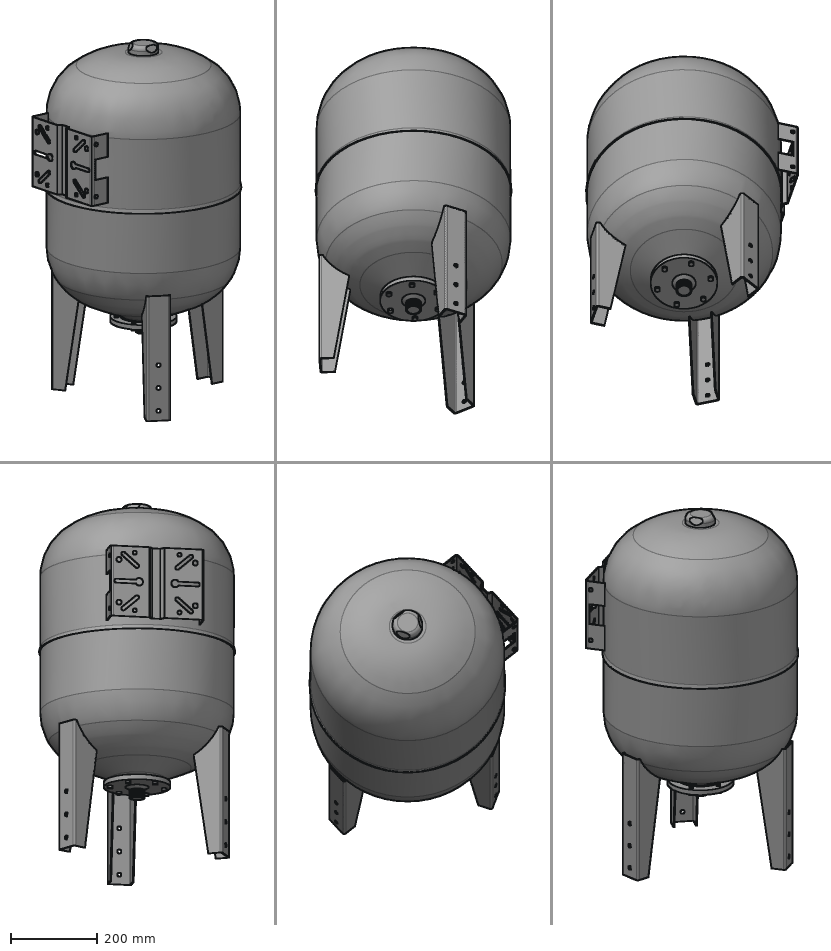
import cadquery as cq
import math

TANK_RADIUS = 450.0 / 2
LOWER_SEAM_Z = 359.0
UPPER_SEAM_Z = 682.0
KNUCKLE_RADIUS = 132.0
KNUCKLE_CENTER = TANK_RADIUS - KNUCKLE_RADIUS
CROWN_JOINT_RADIUS = 156.5
CROWN_MIDDLE = (111.0, 819.0)
LOWER_BELT_RADIUS = 205.0
LOWER_SHOULDER = (170.0, 251.0)
LOWER_CONE_EDGE = (125.0, 226.0)
RIM_RADIUS = 455.0 / 2
RIM_BOTTOM_Z = 503.0
RIM_MIDDLE = (226.0, 508.5)
RIM_TOP_Z = 513.0

TOTAL_HEIGHT = 850.5
LAND_RADIUS = 42.5
LAND_Z = 828.0
CAP_RADIUS = 35.0
CAP_ROUND = 11.0
GRIP_COUNT = 3
GRIP_TOP_RADIUS = 26.0
GRIP_FOOT_Z = 834.0

NECK_RADIUS = 108.0 / 2
NECK_FLARE_EDGE = (64.0, 201.0)
NECK_FLARE_BOTTOM_Z = 194.0
FLANGE_RADIUS = 77.0
FLANGE_TOP_Z = 191.0
FLANGE_BOTTOM_Z = 179.5
BOLT_COUNT = 6
BOLT_CIRCLE_RADIUS = 64.0
BOLT_HEAD_DIAMETER = 12.0
BOLT_HEAD_HEIGHT = 5.0
BOLT_TIP_DIAMETER = 9.0
BOLT_TIP_HEIGHT = 2.5
COLLAR_TOP_RADIUS = 27.0
COLLAR_HEIGHT = 5.0
THREAD_RADIUS = 18.0
THREAD_ROOT_RADIUS = 31.0 / 2
THREAD_PITCH = 2.3
THREAD_BOTTOM_Z = 152.0

LEG_COUNT = 3
LEG_FIRST_ANGLE = 90
LEG_RADIUS = 218.0
LEG_WIDTH = 56.0
LEG_HEIGHT = 301.0
LEG_SHEET = 3.0
LEG_BEND_RADIUS = 5.0
LEG_FOOT_DEPTH = 34.0
LEG_TAPER_TOP_Z = 237.0
LEG_TAPER_TOP_DEPTH = 70.0
LEG_HOLE_DIAMETER = 9.0
LEG_HOLE_HEIGHTS = (24.0, 79.0, 134.0)

BRACKET_FRONT_Y = RIM_RADIUS - 473.0
BRACKET_WIDTH = 221.0
BRACKET_HEIGHT = 167.5
BRACKET_BOTTOM_Z = 525.0
BRACKET_MID_Z = BRACKET_BOTTOM_Z + BRACKET_HEIGHT / 2
BRACKET_SHEET = 2.5
BRACKET_BEND_RADIUS = 7.0
BRACKET_BACK_Y = -195.0
CHANNEL_DEPTH = 10.0
CHANNEL_MOUTH_HALF = 16.0
CHANNEL_FLOOR_HALF = 9.0
NOTCH_BOTTOM_Z = 586.0
NOTCH_TOP_Z = 635.0
NOTCH_FRONT_Y = -234.0
SIDE_HOLE_DIAMETER = 9.0
SIDE_HOLE_Y = -231.0
SIDE_HOLE_SPREAD = 63.0
SMALL_HOLE_DIAMETER = 9.0
SMALL_HOLE_PLACE = (53.0, 69.0)
LARGE_HOLE_DIAMETER = 12.0
LARGE_HOLE_PLACE = (90.0, 51.0)
SLOT_WIDTH = 9.0
KEYHOLE_HEAD_DIAMETER = 18.0
KEYHOLE_HEAD_X = 42.5
KEYHOLE_END_X = 96.0
DIAGONAL_INNER = (48.0, 37.0)
DIAGONAL_OUTER = (80.0, 65.5)


def cylinder(radius, bottom_z, top_z):
    return cq.Workplane("XY", origin=(0, 0, bottom_z)).circle(radius).extrude(top_z - bottom_z)


def around_axis(shape, count, first_angle=0):
    """Copies of a shape spread evenly around the tank axis."""
    step = 360 / count
    return [shape.rotate((0, 0, 0), (0, 0, 1), first_angle + i * step) for i in range(count)]


def knuckle_rise(radius):
    """Height of a knuckle surface above its seam at a given radius."""
    return math.sqrt(KNUCKLE_RADIUS**2 - (radius - KNUCKLE_CENTER)**2)


def make_tank():
    """Tank, bottom neck, flange and thread as one revolved profile, listed from the bottom up."""
    collar_bottom = FLANGE_BOTTOM_Z - COLLAR_HEIGHT
    ring_count = int((collar_bottom - THREAD_BOTTOM_Z) / THREAD_PITCH)
    profile = cq.Workplane("XZ").moveTo(0, THREAD_BOTTOM_Z).lineTo(THREAD_ROOT_RADIUS, THREAD_BOTTOM_Z)
    for i in range(ring_count, 0, -1):
        crest_z = collar_bottom - i * THREAD_PITCH
        profile = profile.lineTo(THREAD_RADIUS, crest_z)
        profile = profile.lineTo(THREAD_ROOT_RADIUS, crest_z + THREAD_PITCH / 2)
    profile = (
        profile
        .lineTo(THREAD_RADIUS, collar_bottom)
        .lineTo(COLLAR_TOP_RADIUS, FLANGE_BOTTOM_Z)
        .lineTo(FLANGE_RADIUS, FLANGE_BOTTOM_Z)
        .lineTo(FLANGE_RADIUS, FLANGE_TOP_Z)
        .lineTo(NECK_RADIUS, FLANGE_TOP_Z)
        .lineTo(NECK_RADIUS, NECK_FLARE_BOTTOM_Z)
        .lineTo(*NECK_FLARE_EDGE)
        .lineTo(*LOWER_CONE_EDGE)
    )
    lower_belt = (LOWER_BELT_RADIUS, LOWER_SEAM_Z - knuckle_rise(LOWER_BELT_RADIUS))
    crown_joint = (CROWN_JOINT_RADIUS, UPPER_SEAM_Z + knuckle_rise(CROWN_JOINT_RADIUS))
    lower_middle = (TANK_RADIUS + LOWER_BELT_RADIUS) / 2
    upper_middle = (TANK_RADIUS + CROWN_JOINT_RADIUS) / 2
    profile = (
        profile
        .threePointArc(LOWER_SHOULDER, lower_belt)
        .threePointArc((lower_middle, LOWER_SEAM_Z - knuckle_rise(lower_middle)), (TANK_RADIUS, LOWER_SEAM_Z))
        .lineTo(TANK_RADIUS, RIM_BOTTOM_Z)
        .lineTo(RIM_RADIUS, RIM_BOTTOM_Z)
        .threePointArc(RIM_MIDDLE, (TANK_RADIUS, RIM_TOP_Z))
        .lineTo(TANK_RADIUS, UPPER_SEAM_Z)
        .threePointArc((upper_middle, UPPER_SEAM_Z + knuckle_rise(upper_middle)), crown_joint)
        .threePointArc(CROWN_MIDDLE, (LAND_RADIUS, LAND_Z))
        .lineTo(0, LAND_Z)
        .close()
    )
    return profile.revolve(360, (0, 0, 0), (0, 1, 0))


def make_cap():
    cap = cylinder(CAP_RADIUS, UPPER_SEAM_Z, TOTAL_HEIGHT).faces(">Z").edges().fillet(CAP_ROUND)
    waste = (
        cq.Workplane("XZ", origin=(0, CAP_RADIUS, 0))
        .moveTo(GRIP_TOP_RADIUS, TOTAL_HEIGHT)
        .lineTo(CAP_RADIUS, GRIP_FOOT_Z)
        .lineTo(CAP_RADIUS, TOTAL_HEIGHT)
        .close()
        .extrude(2 * CAP_RADIUS)
    )
    for piece in around_axis(waste, GRIP_COUNT):
        cap = cap.cut(piece)
    return cap


def make_bolt():
    """One flange bolt on the X axis: head below the flange, tip just above it."""
    head_bottom = FLANGE_BOTTOM_Z - BOLT_HEAD_HEIGHT
    tip_top = FLANGE_TOP_Z + BOLT_TIP_HEIGHT
    head = cylinder(BOLT_HEAD_DIAMETER / 2, head_bottom, FLANGE_BOTTOM_Z)
    tip = cylinder(BOLT_TIP_DIAMETER / 2, FLANGE_BOTTOM_Z, tip_top)
    return head.union(tip).translate((BOLT_CIRCLE_RADIUS, 0, 0))


def make_leg():
    """One leg with its web facing +X."""
    leg_depth = LEG_TAPER_TOP_DEPTH
    outer = (
        cq.Workplane("XY")
        .box(leg_depth, LEG_WIDTH, LEG_HEIGHT, centered=(False, True, False))
        .edges("|Z and >X")
        .fillet(LEG_BEND_RADIUS)
    )
    inner = (
        cq.Workplane("XY")
        .box(leg_depth - LEG_SHEET, LEG_WIDTH - 2 * LEG_SHEET, LEG_HEIGHT, centered=(False, True, False))
        .edges("|Z and >X")
        .fillet(LEG_BEND_RADIUS - LEG_SHEET)
    )
    taper = (
        cq.Workplane("XZ", origin=(0, LEG_WIDTH / 2, 0))
        .polyline([(0, 0), (leg_depth - LEG_FOOT_DEPTH, 0), (0, LEG_TAPER_TOP_Z)])
        .close()
        .extrude(LEG_WIDTH)
    )
    holes = (
        cq.Workplane("YZ", origin=(leg_depth / 2, 0, 0))
        .pushPoints([(0, z) for z in LEG_HOLE_HEIGHTS])
        .circle(LEG_HOLE_DIAMETER / 2)
        .extrude(leg_depth)
    )
    leg = outer.cut(inner).cut(taper).cut(holes)
    return leg.translate((LEG_RADIUS - leg_depth, 0, 0))


def slot(start, end):
    """Rounded slot through the bracket plate; points are X and Z from the bracket middle."""
    run = end[0] - start[0]
    rise = end[1] - start[1]
    return (
        cq.Workplane("XZ", origin=(0, 0, BRACKET_MID_Z))
        .center((start[0] + end[0]) / 2, (start[1] + end[1]) / 2)
        .slot2D(math.hypot(run, rise) + SLOT_WIDTH, SLOT_WIDTH, math.degrees(math.atan2(rise, run)))
        .extrude(CHANNEL_DEPTH)
    )


def plate_hole(diameter, place):
    return (
        cq.Workplane("XZ", origin=(0, 0, BRACKET_MID_Z))
        .center(*place)
        .circle(diameter / 2)
        .extrude(CHANNEL_DEPTH)
    )


def plate_cutters():
    """All openings of the plate: the right half and its mirror image."""
    cutters = slot((KEYHOLE_HEAD_X, 0), (KEYHOLE_END_X, 0))
    cutters = cutters.union(plate_hole(KEYHOLE_HEAD_DIAMETER, (KEYHOLE_HEAD_X, 0)))
    upper = slot(DIAGONAL_INNER, DIAGONAL_OUTER)
    upper = upper.union(plate_hole(SMALL_HOLE_DIAMETER, SMALL_HOLE_PLACE))
    upper = upper.union(plate_hole(LARGE_HOLE_DIAMETER, LARGE_HOLE_PLACE))
    lower = upper.translate((0, 0, -BRACKET_MID_Z)).mirror("XY").translate((0, 0, BRACKET_MID_Z))
    cutters = cutters.union(upper).union(lower)
    cutters = cutters.union(cutters.mirror("YZ"))
    return cutters.translate((0, BRACKET_FRONT_Y + CHANNEL_DEPTH / 2, 0))


def make_bracket():
    half = BRACKET_WIDTH / 2
    front = BRACKET_FRONT_Y
    floor = front + CHANNEL_DEPTH
    back = BRACKET_BACK_Y
    sheet = BRACKET_SHEET
    right_outline = [
        (0, floor), (CHANNEL_FLOOR_HALF, floor), (CHANNEL_MOUTH_HALF, front), (half, front),
        (half, back), (half - sheet, back), (half - sheet, front + sheet),
        (CHANNEL_MOUTH_HALF + sheet, front + sheet), (CHANNEL_FLOOR_HALF + sheet, floor + sheet),
        (0, floor + sheet),
    ]
    bracket = (
        cq.Workplane("XY", origin=(0, 0, BRACKET_BOTTOM_Z))
        .polyline(right_outline)
        .close()
        .extrude(BRACKET_HEIGHT)
    )
    bracket = bracket.edges("|Z and >X and <Y").fillet(BRACKET_BEND_RADIUS)
    return bracket.union(bracket.mirror("YZ"))


def bracket_side_cutters():
    """Middle notch and bolt holes of the two side flanges only."""
    start_x = BRACKET_WIDTH / 4
    notch = (
        cq.Workplane("XY", origin=(start_x, NOTCH_FRONT_Y, NOTCH_BOTTOM_Z))
        .box(start_x, BRACKET_BACK_Y - NOTCH_FRONT_Y, NOTCH_TOP_Z - NOTCH_BOTTOM_Z, centered=False)
    )
    holes = (
        cq.Workplane("YZ", origin=(start_x, 0, BRACKET_MID_Z))
        .pushPoints([(SIDE_HOLE_Y, SIDE_HOLE_SPREAD), (SIDE_HOLE_Y, -SIDE_HOLE_SPREAD)])
        .circle(SIDE_HOLE_DIAMETER / 2)
        .extrude(start_x)
    )
    cutters = notch.union(holes)
    return cutters.union(cutters.mirror("YZ"))


result = make_tank().union(make_cap())
for bolt in around_axis(make_bolt(), BOLT_COUNT):
    result = result.union(bolt)
for leg in around_axis(make_leg(), LEG_COUNT, LEG_FIRST_ANGLE):
    result = result.union(leg)
result = result.union(make_bracket().cut(bracket_side_cutters()).cut(plate_cutters()))